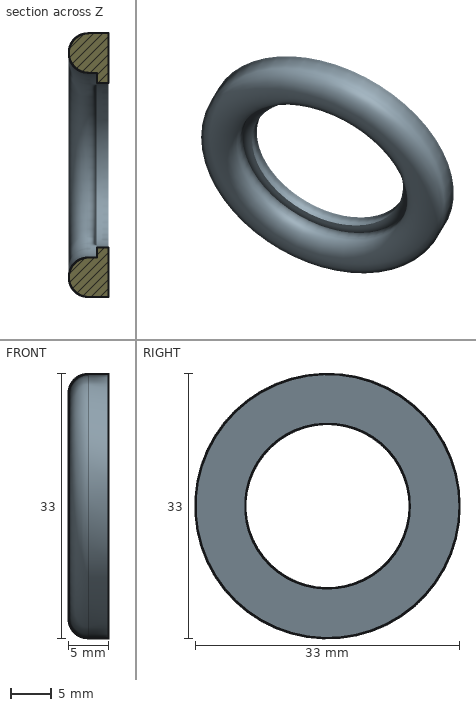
import cadquery as cq

outer_diameter = 33.0
recess_diameter = 23.0
bore_diameter = 20.5
width = 5.0
lip_thickness = 1.52

outer_radius = outer_diameter / 2
recess_radius = recess_diameter / 2
bore_radius = bore_diameter / 2
crown_radius = (outer_radius - recess_radius) / 2
crown_middle_radius = (outer_radius + recess_radius) / 2

crown_end = crown_radius
lip_start = width - lip_thickness

section = (
    cq.Workplane("XY")
    .moveTo(crown_end, outer_radius)
    .threePointArc((0, crown_middle_radius), (crown_end, recess_radius))
    .lineTo(lip_start, recess_radius)
    .lineTo(lip_start, bore_radius)
    .lineTo(width, bore_radius)
    .lineTo(width, outer_radius)
    .close()
)

result = section.revolve(360, (0, 0, 0), (1, 0, 0))